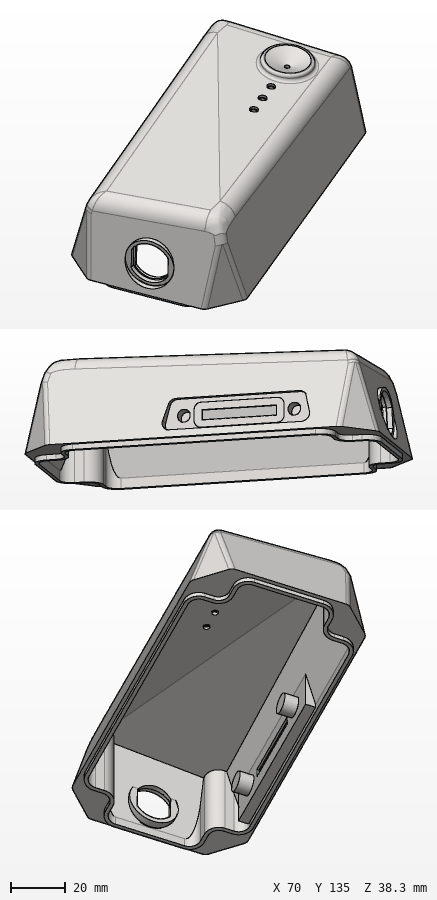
import math

import cadquery as cq

WIDTH = 70.0
LENGTH = 135.0
WALL_DRAFT = 15.0
RIDGE_HEIGHT = 35.0
ROOF_TILT = 4.5
CORNER_LEG = 11.7
CORNER_DRAFT = 6.4
CORNER_ROUND = 3.0
ROOF_ROUND = 7.0
ROOF_CORNER_ROUND = 3.6
WALL = 2.5

LIP_HEIGHT = 2.0
LIP_INSET = 1.5
LIP_THICKNESS = 1.5
LIP_NOTCH = 15.3
LIP_OUTER_ROUND = 5.9
LIP_INNER_ROUND = 4.3

BUTTON_X = 9.5
BUTTON_Y = 41.65
BUTTON_FLARE_RADIUS = 11.7
BUTTON_WALL_RADIUS = 10.1
BUTTON_RIM_RADIUS = 8.9
BUTTON_DISH_RADIUS = 8.5
BUTTON_HEIGHT = 2.58
BUTTON_DISH_DEPTH = 3.9
BUTTON_HOLE_DIAMETER = 1.9
BUTTON_ROOT = 2.0

LIGHT_COUNT = 3
LIGHT_PITCH = 8.0
LIGHT_FIRST_Y = 26.6
LIGHT_DIAMETER = 3.2
LIGHT_HOLE_DIAMETER = 2.4
LIGHT_SEAT_DEPTH = 1.0

PORT_Z = 12.1
PORT_DIAMETER = 19.4
PORT_FACE_Y = -64.1
PORT_FACE_TILT = 3.0
PORT_COLLAR_LENGTH = 3.3
PORT_MOUTH_DIAMETER = 16.6
PORT_MOUTH_WIDTH = 14.6
PORT_MOUTH_DEPTH = 2.0
PORT_BORE_DIAMETER = 15.6
PORT_BORE_WIDTH = 13.2

POCKET_Y = -15.9
POCKET_FLOOR_X = -29.0
POCKET_BOTTOM_Z = 2.9
POCKET_TOP_Z = 15.4
POCKET_BOTTOM_WIDTH = 58.0
POCKET_SIDE_LEAN = 15.0
POCKET_ROUND = 3.0
POCKET_FLOOR_THICKNESS = 1.0

CONNECTOR_Z = 9.1
CONNECTOR_WIDTH = 34.3
CONNECTOR_HEIGHT = 9.4
CONNECTOR_ROUND = 2.6
CONNECTOR_RECESS = 0.1
SLOT_WIDTH = 28.4
SLOT_HEIGHT = 3.8
SCREW_DIAMETER = 4.8
SCREW_SPACING = 42.1
SCREW_DEPTH = 5.0
SCREW_BOSS_DIAMETER = 8.0
SCREW_BOSS_LENGTH = 6.5

OVERSIZE = 200.0
BLANK_HEIGHT = 50.0
NEAR = 0.1


def crease_vector():
    """Direction of the roof crease, joining two opposite top corners."""
    lean = RIDGE_HEIGHT * math.tan(math.radians(WALL_DRAFT))
    return cq.Vector(WIDTH / 2 - lean, -(LENGTH / 2 - lean), 0).normalized()


CREASE = crease_vector()
ACROSS = cq.Vector(-CREASE.y, CREASE.x, 0)
TILT = math.radians(ROOF_TILT)
ROOF_NORMAL = ACROSS * math.sin(TILT) + cq.Vector(0, 0, math.cos(TILT))


def roof_limit(ridge_height):
    """Everything below the two roof faces that meet in the crease."""
    fall = OVERSIZE * math.tan(TILT)
    profile = [
        (-OVERSIZE, -OVERSIZE),
        (OVERSIZE, -OVERSIZE),
        (OVERSIZE, ridge_height - fall),
        (0, ridge_height),
        (-OVERSIZE, ridge_height - fall),
    ]
    section = cq.Plane(CREASE * -OVERSIZE, ACROSS, CREASE)
    return cq.Workplane(section).polyline(profile).close().extrude(2 * OVERSIZE)


def drafted_walls(inset):
    """Tall block with the four leaning side walls."""
    return (
        cq.Workplane("XY")
        .rect(WIDTH - 2 * inset, LENGTH - 2 * inset)
        .extrude(BLANK_HEIGHT, taper=WALL_DRAFT)
    )


def corner_limit():
    """Square turned by 45 degrees whose leaning faces cut the corners."""
    leg_sum = (WIDTH + LENGTH) / 2 - CORNER_LEG
    side = math.sqrt(2) * leg_sum
    return (
        cq.Workplane("XY")
        .transformed(rotate=(0, 0, 45))
        .rect(side, side)
        .extrude(BLANK_HEIGHT, taper=CORNER_DRAFT)
    )


def wall_edges(body):
    """Straight edges that run up the walls."""
    edges = body.edges("%LINE").vals()
    return [edge for edge in edges if abs(edge.tangentAt(0.5).z) > 0.5]


def outer_form():
    """Rounded roof on drafted walls with rounded corner faces."""
    block = drafted_walls(0).intersect(roof_limit(RIDGE_HEIGHT))
    eaves = [
        edge
        for edge in block.edges("%LINE").vals()
        if 0 < edge.Center().z < RIDGE_HEIGHT - NEAR and abs(edge.tangentAt(0.5).z) < 0.5
    ]
    block = block.newObject(eaves).fillet(ROOF_ROUND)
    block = block.newObject(wall_edges(block)).fillet(ROOF_CORNER_ROUND)

    column = drafted_walls(0).intersect(corner_limit())
    column = column.newObject(wall_edges(column)).fillet(CORNER_ROUND)
    return block.intersect(column)


def notched_block(inset, height):
    """Block on the lip's lower edge, with a rounded square notch in each corner."""
    half_width = WIDTH / 2 - inset
    half_length = LENGTH / 2 - inset
    shrink = inset - LIP_INSET
    notch_x = WIDTH / 2 - LIP_NOTCH - shrink
    notch_y = LENGTH / 2 - LIP_NOTCH - shrink
    base = cq.Workplane("XY", origin=(0, 0, -LIP_HEIGHT))
    long_bar = base.rect(2 * notch_x, 2 * half_length).extrude(height)
    wide_bar = base.rect(2 * half_width, 2 * notch_y).extrude(height)
    cross = long_bar.union(wide_bar)
    inner = [
        edge
        for edge in cross.edges("|Z").vals()
        if abs(edge.Center().x) < notch_x + NEAR and abs(edge.Center().y) < notch_y + NEAR
    ]
    cross = cross.newObject(inner).fillet(LIP_INNER_ROUND + shrink)
    outer = [
        edge
        for edge in cross.edges("|Z and %LINE").vals()
        if abs(edge.Center().x) > half_width - NEAR or abs(edge.Center().y) > half_length - NEAR
    ]
    return cross.newObject(outer).fillet(LIP_OUTER_ROUND - shrink)


def shell():
    """Housing wall with the lip below its rim, open at the bottom."""
    lip = notched_block(LIP_INSET, LIP_HEIGHT)
    inside = LIP_INSET + LIP_THICKNESS
    opening = notched_block(inside, LIP_HEIGHT + BLANK_HEIGHT)
    lip_opening = notched_block(inside, LIP_HEIGHT)
    chamber = drafted_walls(WALL).intersect(roof_limit(RIDGE_HEIGHT - WALL))
    chamber = chamber.intersect(opening)
    return outer_form().union(lip).cut(chamber).cut(lip_opening)


def roof_plane(x, y):
    """Workplane on the +X +Y roof face at (x, y), facing outwards."""
    fall = cq.Vector(x, y, 0).dot(ACROSS) * math.tan(TILT)
    return cq.Plane(cq.Vector(x, y, RIDGE_HEIGHT - fall), CREASE, ROOF_NORMAL)


def add_button(body):
    """Flared round button with a conical dish and a centre hole."""
    plane = roof_plane(BUTTON_X, BUTTON_Y)
    crown = BUTTON_WALL_RADIUS - BUTTON_RIM_RADIUS
    flare = BUTTON_FLARE_RADIUS - BUTTON_WALL_RADIUS
    crown_bottom = BUTTON_HEIGHT - crown
    rise = math.sin(math.radians(45))
    flare_middle = (BUTTON_FLARE_RADIUS - flare * rise, crown_bottom * (1 - rise))
    crown_middle = (BUTTON_RIM_RADIUS + crown * rise, crown_bottom + crown * rise)
    section = cq.Plane(plane.origin, plane.xDir, plane.yDir * -1)
    button = (
        cq.Workplane(section)
        .moveTo(0, -BUTTON_ROOT)
        .lineTo(BUTTON_FLARE_RADIUS, -BUTTON_ROOT)
        .lineTo(BUTTON_FLARE_RADIUS, 0)
        .threePointArc(flare_middle, (BUTTON_WALL_RADIUS, crown_bottom))
        .threePointArc(crown_middle, (BUTTON_RIM_RADIUS, BUTTON_HEIGHT))
        .lineTo(0, BUTTON_HEIGHT)
        .close()
        .revolve(360, (0, 0, 0), (0, 1, 0))
    )
    dish = cq.Solid.makeCone(
        0, BUTTON_DISH_RADIUS, BUTTON_DISH_DEPTH,
        plane.origin + ROOF_NORMAL * (BUTTON_HEIGHT - BUTTON_DISH_DEPTH), ROOF_NORMAL,
    )
    hole = cq.Workplane(plane).circle(BUTTON_HOLE_DIAMETER / 2).extrude(2 * WALL, both=True)
    return body.union(button).cut(dish).cut(hole)


def cut_lights(body):
    """Row of stepped indicator holes beside the button."""
    for index in range(LIGHT_COUNT):
        plane = roof_plane(BUTTON_X, LIGHT_FIRST_Y - index * LIGHT_PITCH)
        seat = cq.Workplane(plane).circle(LIGHT_DIAMETER / 2).extrude(-LIGHT_SEAT_DEPTH)
        hole = cq.Workplane(plane).circle(LIGHT_HOLE_DIAMETER / 2).extrude(-2 * WALL)
        body = body.cut(seat).cut(hole)
    return body


def flatted_bore(workplane, diameter, width, depth):
    """Round bore with two vertical flats, running into the workplane."""
    round_bore = workplane.circle(diameter / 2).extrude(-depth)
    flats = workplane.rect(width, diameter).extrude(-depth)
    return round_bore.intersect(flats)


def add_port(body):
    """Round collar through the front wall with a stepped, flat-sided bore."""
    tilt = math.radians(PORT_FACE_TILT)
    outward = cq.Vector(0, -math.cos(tilt), math.sin(tilt))
    face = cq.Workplane(cq.Plane((0, PORT_FACE_Y, PORT_Z), (1, 0, 0), outward))
    collar = face.circle(PORT_DIAMETER / 2).extrude(-PORT_COLLAR_LENGTH)
    recess = face.circle(PORT_DIAMETER / 2).extrude(PORT_COLLAR_LENGTH)
    mouth = flatted_bore(face, PORT_MOUTH_DIAMETER, PORT_MOUTH_WIDTH, PORT_MOUTH_DEPTH)
    bore = flatted_bore(face, PORT_BORE_DIAMETER, PORT_BORE_WIDTH, PORT_COLLAR_LENGTH + WALL)
    return body.union(collar).cut(recess).cut(mouth).cut(bore)


def add_connector(body):
    """Pocket in the -X wall with a connector slot between two screw holes."""
    floor = cq.Workplane(cq.Plane((POCKET_FLOOR_X, POCKET_Y, 0), (0, -1, 0), (-1, 0, 0)))
    seat = floor.center(0, CONNECTOR_Z)
    screws = seat.pushPoints([(-SCREW_SPACING / 2, 0), (SCREW_SPACING / 2, 0)])
    pocket_height = POCKET_TOP_Z - POCKET_BOTTOM_Z
    lean = pocket_height * math.tan(math.radians(POCKET_SIDE_LEAN))
    pocket_reach = WIDTH / 2 + POCKET_FLOOR_X
    half_bottom = POCKET_BOTTOM_WIDTH / 2
    pocket = (
        floor.moveTo(-half_bottom, POCKET_BOTTOM_Z)
        .lineTo(half_bottom, POCKET_BOTTOM_Z)
        .lineTo(half_bottom - lean, POCKET_TOP_Z)
        .lineTo(lean - half_bottom, POCKET_TOP_Z)
        .close()
        .extrude(pocket_reach)
        .edges("|X")
        .fillet(POCKET_ROUND)
    )
    backing = (
        floor.workplane(offset=-POCKET_FLOOR_THICKNESS)
        .center(0, (POCKET_TOP_Z + POCKET_BOTTOM_Z) / 2)
        .rect(POCKET_BOTTOM_WIDTH + 2 * WALL, pocket_height + 2 * WALL)
        .extrude(POCKET_FLOOR_THICKNESS + pocket_reach)
        .intersect(drafted_walls(0))
    )
    bosses = screws.circle(SCREW_BOSS_DIAMETER / 2).extrude(-SCREW_BOSS_LENGTH)
    recess = (
        seat.rect(CONNECTOR_WIDTH, CONNECTOR_HEIGHT)
        .extrude(-CONNECTOR_RECESS)
        .edges("|X")
        .fillet(CONNECTOR_ROUND)
    )
    slot = seat.rect(SLOT_WIDTH, SLOT_HEIGHT).extrude(-SCREW_BOSS_LENGTH)
    screw_holes = screws.circle(SCREW_DIAMETER / 2).extrude(-SCREW_DEPTH)
    body = body.union(backing).union(bosses)
    return body.cut(pocket).cut(recess).cut(slot).cut(screw_holes)


result = shell()
result = add_button(result)
result = cut_lights(result)
result = add_port(result)
result = add_connector(result)